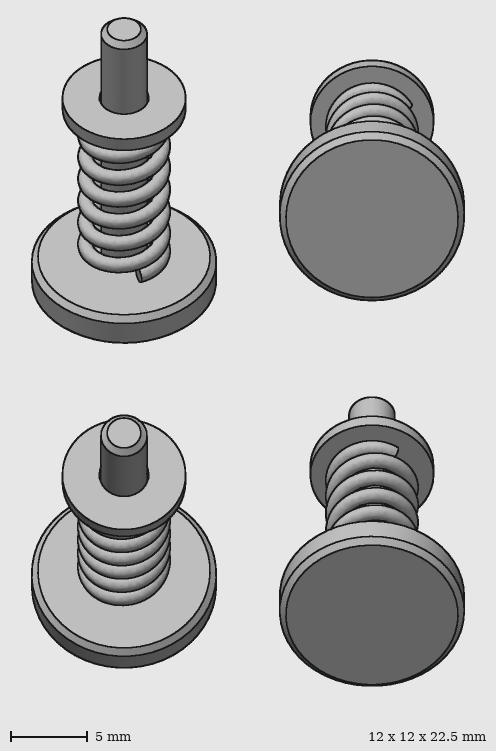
import cadquery as cq
import math

TOTAL_HEIGHT = 22.5
BASE_DIAMETER = 12.0
BASE_THICKNESS = 2.5
EDGE_CHAMFER = 0.4

PIN_DIAMETER = 3.0

WASHER_DIAMETER = 8.0
WASHER_BORE = 3.2
WASHER_THICKNESS = 1.0
WASHER_BOTTOM = 15.5

WIRE_DIAMETER = 1.0
SPRING_OUTER_DIAMETER = 6.0
TURNS = 7.0
RAMP_TURNS = 0.75
POINTS_PER_TURN = 16

COIL_RADIUS = (SPRING_OUTER_DIAMETER - WIRE_DIAMETER) / 2
COIL_START = BASE_THICKNESS + WIRE_DIAMETER / 2
COIL_RISE = WASHER_BOTTOM - BASE_THICKNESS - WIRE_DIAMETER
PITCH = COIL_RISE / (TURNS - RAMP_TURNS)


def make_base():
    """Round foot, chamfered on both rims."""
    disc = cq.Workplane("XY").circle(BASE_DIAMETER / 2).extrude(BASE_THICKNESS)
    return disc.faces("<Z or >Z").edges().chamfer(EDGE_CHAMFER)


def make_pin():
    """Straight pin standing on the base, chamfered at its tip."""
    shaft = (
        cq.Workplane("XY", origin=(0, 0, BASE_THICKNESS))
        .circle(PIN_DIAMETER / 2)
        .extrude(TOTAL_HEIGHT - BASE_THICKNESS)
    )
    return shaft.faces(">Z").edges().chamfer(EDGE_CHAMFER)


def make_washer():
    """Flat washer with a clearance bore around the pin."""
    return (
        cq.Workplane("XY", origin=(0, 0, WASHER_BOTTOM))
        .circle(WASHER_DIAMETER / 2)
        .circle(WASHER_BORE / 2)
        .extrude(WASHER_THICKNESS)
    )


def rise_from_end(turn):
    """Rise of the coil after a number of turns, its lead easing in from zero."""
    if turn >= RAMP_TURNS:
        return PITCH * (turn - RAMP_TURNS / 2)
    share = turn / RAMP_TURNS
    return PITCH * RAMP_TURNS * (share**3 - share**4 / 2)


def coil_point(turn):
    """Point on the right-handed centreline; the upper half mirrors the lead of the lower."""
    if turn <= TURNS / 2:
        rise = rise_from_end(turn)
    else:
        rise = COIL_RISE - rise_from_end(TURNS - turn)
    angle = 2 * math.pi * turn
    return (COIL_RADIUS * math.cos(angle), COIL_RADIUS * math.sin(angle), COIL_START + rise)


def make_spring():
    """Compression spring between base and washer, with flat-lying ends."""
    steps = round(TURNS * POINTS_PER_TURN)
    centreline = cq.Workplane("XY").spline(
        [coil_point(TURNS * step / steps) for step in range(steps + 1)]
    )
    return (
        cq.Workplane("XZ", origin=coil_point(0))
        .circle(WIRE_DIAMETER / 2)
        .sweep(centreline, isFrenet=True)
    )


base = make_base()
pin = make_pin()
washer = make_washer()
spring = make_spring()

result = cq.Compound.makeCompound([base.val(), pin.val(), washer.val(), spring.val()])